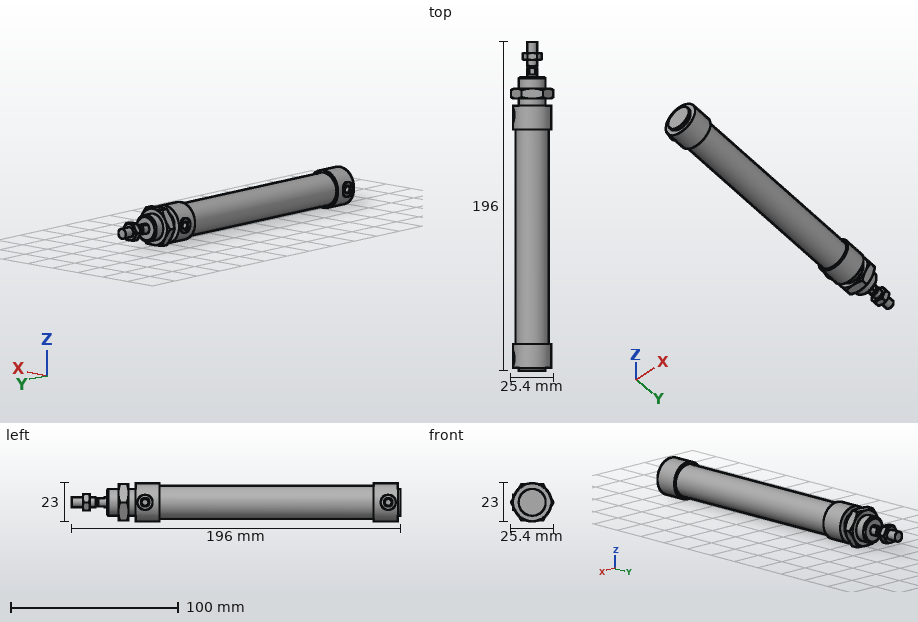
import cadquery as cq
import math


total_length = 196.0
rear_boss_length = 1.8
cap_length = 14.3
nose_front = 175.0
nose_length = 17.0
front_cap_front = nose_front - nose_length
front_cap_rear = front_cap_front - cap_length
rear_cap_front = rear_boss_length + cap_length

cap_diameter = 23.0
tube_diameter = 20.0
nose_diameter = 16.0
nose_chamfer = 1.0

port_inset = 5.7
port_boss_diameter = 9.0
port_mouth_diameter = 5.0
port_hole_diameter = 4.1
port_depth = 4.9

rod_diameter = 6.0
undercut_diameter = 4.1
wrench_flat_width = 5.0
thread_length = 14.3
undercut_length = 0.5
flat_rear_gap = 1.5
rod_shoulder = total_length - thread_length - undercut_length
cone_length = (rod_diameter - undercut_diameter) / 2

mount_nut_flats = 22.0
mount_nut_thickness = 6.0
mount_nut_front = 168.2
rod_nut_flats = 10.0
rod_nut_thickness = 4.1
rod_nut_front = 189.3
nut_chamfer_angle = 30.0


def cylinder(diameter, rear, front):
    """Cylinder on the Y axis between two stations."""
    return cq.Workplane("XZ", origin=(0, front, 0)).circle(diameter / 2).extrude(front - rear)


def add_port(body, station):
    """Round boss, tangent to the end cap, with a countersunk blind hole."""
    face_x = -cap_diameter / 2
    face = cq.Workplane("YZ", origin=(face_x, station, 0))
    boss = face.circle(port_boss_diameter / 2).extrude(port_depth)
    hole = face.circle(port_hole_diameter / 2).extrude(port_depth)
    sink_depth = (port_mouth_diameter - port_hole_diameter) / 2
    sink = cq.Workplane(cq.Solid.makeCone(
        port_mouth_diameter / 2, port_hole_diameter / 2, sink_depth,
        cq.Vector(face_x, station, 0), cq.Vector(1, 0, 0)))
    return body.union(boss).cut(hole).cut(sink)


def make_housing():
    """Tube, two end caps, rear boss and front mounting nose in one body."""
    nose = cylinder(nose_diameter, front_cap_front, nose_front).faces(">Y").chamfer(nose_chamfer)
    body = (
        cylinder(nose_diameter, 0, rear_boss_length)
        .union(cylinder(cap_diameter, rear_boss_length, rear_cap_front))
        .union(cylinder(tube_diameter, rear_cap_front, front_cap_rear))
        .union(cylinder(cap_diameter, front_cap_rear, front_cap_front))
        .union(nose)
    )
    for station in (rear_boss_length + port_inset, front_cap_front - port_inset):
        body = add_port(body, station)
    return body


def make_rod():
    """Rod standing on the nose face, with undercut, wrench flats and threaded end."""
    rod_radius = rod_diameter / 2
    undercut_radius = undercut_diameter / 2
    thread_rear = total_length - thread_length
    rod = (
        cq.Workplane("XY")
        .moveTo(0, nose_front)
        .lineTo(rod_radius, nose_front)
        .lineTo(rod_radius, rod_shoulder - cone_length)
        .lineTo(undercut_radius, rod_shoulder)
        .lineTo(undercut_radius, thread_rear)
        .lineTo(rod_radius, thread_rear)
        .lineTo(rod_radius, total_length)
        .lineTo(0, total_length)
        .close()
        .revolve(360, (0, 0, 0), (0, 1, 0))
    )
    flat_rear = nose_front + flat_rear_gap
    flat_length = rod_shoulder - flat_rear
    for side in (-1, 1):
        flat_center = (0, flat_rear + flat_length / 2, side * (wrench_flat_width + rod_diameter) / 2)
        rod = rod.cut(cq.Workplane("XY", origin=flat_center).box(rod_diameter, flat_length, rod_diameter))
    return rod


def make_nut(flats, thickness, front, bore):
    """Hexagon nut with corners on X and both ends turned to a shallow cone."""
    corners = flats / math.cos(math.pi / 6)
    rear = front - thickness
    hexagon = cq.Workplane("XZ", origin=(0, front, 0)).polygon(6, corners).extrude(thickness)
    end_radius = flats / 2
    corner_radius = corners / 2
    corner_drop = (corner_radius - end_radius) * math.tan(math.radians(nut_chamfer_angle))
    envelope = (
        cq.Workplane("XY")
        .moveTo(0, rear)
        .lineTo(end_radius, rear)
        .lineTo(corner_radius, rear + corner_drop)
        .lineTo(corner_radius, front - corner_drop)
        .lineTo(end_radius, front)
        .lineTo(0, front)
        .close()
        .revolve(360, (0, 0, 0), (0, 1, 0))
    )
    return hexagon.intersect(envelope).cut(cylinder(bore, rear, front))


housing = make_housing()
rod = make_rod()
mount_nut = make_nut(mount_nut_flats, mount_nut_thickness, mount_nut_front, nose_diameter)
rod_nut = make_nut(rod_nut_flats, rod_nut_thickness, rod_nut_front, rod_diameter)

result = cq.Compound.makeCompound([housing.val(), rod.val(), mount_nut.val(), rod_nut.val()])